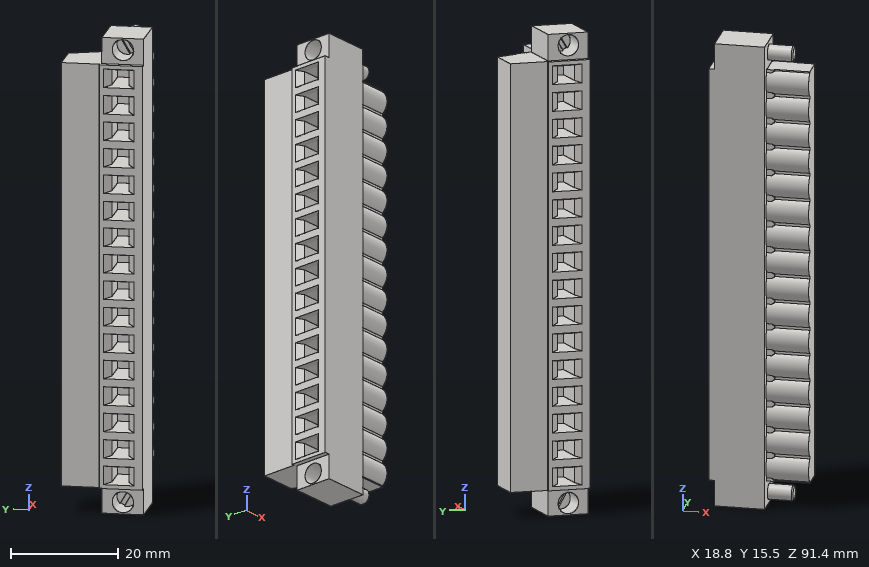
import cadquery as cq

POLES = 16
TOTAL_HEIGHT = 91.4
EAR_HEIGHT = 5.0
BODY_BOTTOM = EAR_HEIGHT
BODY_HEIGHT = TOTAL_HEIGHT - 2 * EAR_HEIGHT
PITCH = BODY_HEIGHT / POLES
TOTAL_LENGTH = 18.8
TOTAL_DEPTH = 15.5

BODY_BACK = 10.7
LOWER_DEPTH = 8.2
UPPER_SETBACK = 0.55
UPPER_EDGE = 8.1
SLOPE_FOOT = 9.0
EAR_FRONT = 1.1
EAR_DEPTH = 8.0

LATCH_ROOT = (9.9, 11.2)
LATCH_SHOULDER = (14.1, 10.2)
LATCH_NOSE = (15.45, 8.8)
LATCH_BOTTOM = 8.4
HOOK_START = 14.2
HOOK_END = 15.0
HOOK_BOTTOM = 8.0
LATCH_END_GAP = 0.9

BAR_FRONT = 2.2
BAR_BACK = 6.9
SOCKET_FRONT = 1.1
SOCKET_WIDTH = 4.6
RIB_STRAIGHT = 0.7
RIB_LENGTH = 1.5
RIB_WIDTH = 1.5
RIB_FRONT = 1.8

MOUTH_LOW, MOUTH_HIGH = 1.65, 7.4
MOUTH_HEIGHT = 3.6
MOUTH_DEPTH = 1.1
POCKET_LOW, POCKET_HIGH = 2.7, 6.0
POCKET_HEIGHT = 2.9
POCKET_DEPTH = 7.3

SCREW_Y = 3.9
SCREW_INSET = 2.3
SCREW_HOLE = 4.0
SCREW_HOLE_DEPTH = 6.4
HEAD_DIAMETER = 3.8
HEAD_HEIGHT = 1.8
SLOT_WIDTH = 0.9
SLOT_DEPTH = 0.7
SLOT_ANGLE = 60.0
SHANK_DIAMETER = 3.0
SHANK_END = 15.5
SHANK_CHAMFER = 0.3


def block(x_range, y_range, z_range):
    """Box between the given limits on each axis."""
    sizes = [high - low for low, high in (x_range, y_range, z_range)]
    corner = (x_range[0], y_range[0], z_range[0])
    return cq.Workplane("XY").box(*sizes, centered=False).translate(corner)


def along_body(points, end_gap=0.0):
    """Extrude an XY outline over the row of poles, stopping end_gap short at both ends."""
    base = cq.Workplane("XY", origin=(0, 0, BODY_BOTTOM + end_gap))
    return base.polyline(points).close().extrude(BODY_HEIGHT - 2 * end_gap)


def cylinder_x(diameter, x_start, x_end, z):
    """Cylinder along X on a screw axis."""
    plane = cq.Workplane("YZ", origin=(x_start, SCREW_Y, z))
    return plane.circle(diameter / 2).extrude(x_end - x_start)


def housing():
    body = along_body([
        (0, 0), (BODY_BACK, 0), (BODY_BACK, SLOPE_FOOT), (UPPER_EDGE, TOTAL_DEPTH),
        (UPPER_SETBACK, TOTAL_DEPTH), (UPPER_SETBACK, LOWER_DEPTH), (0, LOWER_DEPTH),
    ])
    ears = block((EAR_FRONT, BODY_BACK), (0, EAR_DEPTH), (0, TOTAL_HEIGHT))
    return body.union(ears)


def latch():
    outline = [
        LATCH_ROOT, LATCH_SHOULDER, LATCH_NOSE, (HOOK_END, HOOK_BOTTOM),
        (HOOK_START, HOOK_BOTTOM), (HOOK_START, LATCH_BOTTOM), (LATCH_ROOT[0], LATCH_BOTTOM),
    ]
    return along_body(outline, LATCH_END_GAP)


def pole_center(index):
    return BODY_BOTTOM + (index + 0.5) * PITCH


def socket_bar():
    z_range = (BODY_BOTTOM, BODY_BOTTOM + BODY_HEIGHT)
    return block((BODY_BACK, TOTAL_LENGTH), (BAR_FRONT, BAR_BACK), z_range)


def socket_front(z):
    """Rounded front of one socket, standing on the bar."""
    return (
        cq.Workplane("YZ", origin=(BODY_BACK, 0, 0))
        .moveTo(BAR_FRONT, z - SOCKET_WIDTH / 2)
        .threePointArc((SOCKET_FRONT, z), (BAR_FRONT, z + SOCKET_WIDTH / 2))
        .close()
        .extrude(TOTAL_LENGTH - BODY_BACK)
    )


def groove_rib(z, toward_low, toward_high):
    """Low rib with a narrowing tip at the root of a groove; an end groove takes one half."""
    low, high = z - toward_low * RIB_WIDTH / 2, z + toward_high * RIB_WIDTH / 2
    groove = PITCH - SOCKET_WIDTH
    tip_low, tip_high = z - toward_low * groove / 2, z + toward_high * groove / 2
    straight_end = BODY_BACK + RIB_STRAIGHT
    tip = BODY_BACK + RIB_LENGTH
    return (
        cq.Workplane("XZ", origin=(0, BAR_FRONT, 0))
        .polyline([
            (BODY_BACK, low), (straight_end, low), (tip, tip_low),
            (tip, tip_high), (straight_end, high), (BODY_BACK, high),
        ])
        .close()
        .extrude(BAR_FRONT - RIB_FRONT)
    )


def sockets():
    row = socket_bar()
    for index in range(POLES):
        row = row.union(socket_front(pole_center(index)))
    for index in range(POLES + 1):
        rib = groove_rib(BODY_BOTTOM + index * PITCH, index > 0, index < POLES)
        row = row.union(rib)
    return row


def wire_entry(z):
    mouth_center = (MOUTH_LOW + MOUTH_HIGH) / 2
    pocket_center = (POCKET_LOW + POCKET_HIGH) / 2
    mouth = (
        cq.Workplane("YZ", origin=(0, mouth_center, z))
        .rect(MOUTH_HIGH - MOUTH_LOW, MOUTH_HEIGHT)
        .workplane(offset=MOUTH_DEPTH)
        .center(pocket_center - mouth_center, 0)
        .rect(POCKET_HIGH - POCKET_LOW, POCKET_HEIGHT)
        .loft()
    )
    half_height = POCKET_HEIGHT / 2
    pocket = block((MOUTH_DEPTH, POCKET_DEPTH), (POCKET_LOW, POCKET_HIGH), (z - half_height, z + half_height))
    return mouth.union(pocket)


def screw_hole(z):
    return cylinder_x(SCREW_HOLE, EAR_FRONT, EAR_FRONT + SCREW_HOLE_DEPTH, z)


def screw(z, slot_angle):
    """Slotted head standing on the hole floor, and a chamfered shank behind the ear."""
    floor = EAR_FRONT + SCREW_HOLE_DEPTH
    head_face = floor - HEAD_HEIGHT
    slot = (
        cq.Workplane("YZ", origin=(head_face, SCREW_Y, z))
        .transformed(rotate=(0, 0, slot_angle))
        .rect(SCREW_HOLE, SLOT_WIDTH)
        .extrude(SLOT_DEPTH)
    )
    head = cylinder_x(HEAD_DIAMETER, head_face, floor, z).cut(slot)
    shank = cylinder_x(SHANK_DIAMETER, floor, SHANK_END, z).faces(">X").chamfer(SHANK_CHAMFER)
    return head.union(shank)


result = housing().union(latch()).union(sockets())
for pole in range(POLES):
    result = result.cut(wire_entry(pole_center(pole)))
for screw_z, angle in ((SCREW_INSET, -SLOT_ANGLE), (TOTAL_HEIGHT - SCREW_INSET, SLOT_ANGLE)):
    result = result.cut(screw_hole(screw_z)).union(screw(screw_z, angle))